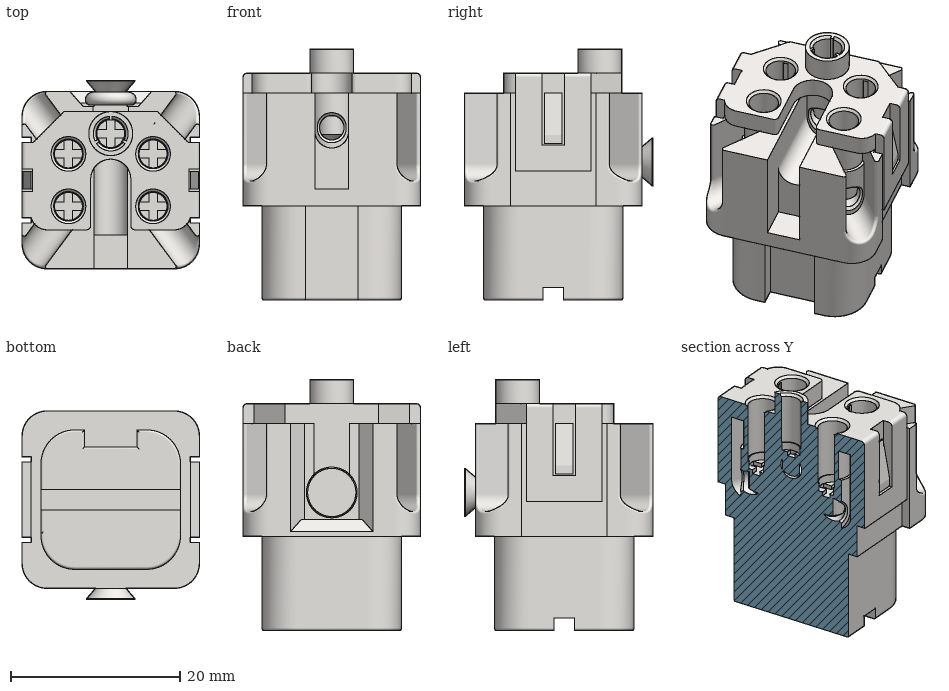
import cadquery as cq
import math

flange_size = 21.0
flange_corner_radius = 3.0
shoulder_z = 13.35
plate_top_z = 15.7
tower_top_z = 18.55
plug_size = 16.5
plug_corner_radius = 4.0
plug_bottom_z = -11.15
plug_edge_radius = 0.3
half_flange = flange_size / 2
half_plug = plug_size / 2
tolerance = 0.01

groove_width = 6.15
groove_depth = 2.0
bottom_slot_width = 2.4
bottom_slot_depth = 1.5

recess_width = 10.1
recess_depth = 1.1
pad_width = 8.9
pad_depth = 1.4
pad_bottom_z = 4.13
pad_edge_radius = 0.5
notch_width = 2.65
notch_depth = 1.25
notch_bottom_z = 7.2
wedge_width = 2.1
wedge_bottom_z = 7.4
wedge_flat_top_z = 8.35
wedge_top_z = shoulder_z
wedge_setback = 0.15
wedge_step = 0.15

plate_half_width = 9.5
plate_front_y = -5.88
plate_back_y = 8.1
plate_bevel = 3.97
plate_corner_radius = 2.0
plate_slot_width = 4.75
plate_slot_end_y = 0.1
plate_slot_corner_radius = 0.5

contact_x = 5.0
contact_y = 3.1
earth_y = 5.5
tower_diameter = 5.2
barrel_diameter = 5.2
barrel_neck_diameter = 4.5
barrel_ledge_z = 9.65
bore_rim_diameter = 4.1
bore_rim_depth = 0.3
bore_diameter = 3.5
bore_seat_diameter = 3.3
bore_seat_height = 1.0
floor_above_hole = 1.9
cross_width = 1.0
cross_depth = 0.5
slit_width = 0.6
slit_depth = 0.2
slit_top_gap = 0.6
slit_height = 4.0
rib_width = 0.35
rib_reach = 1.6

channel_width = 4.0
channel_length = 12.0
channel_angle = 53.5
corner_channel_z = 4.95
front_channel_z = 8.85
channel_edge_radius = 0.27
slot_floor_z = 2.03
slot_wall_y = -6.5
wire_hole_diameter = 2.9
wire_hole_bevel = 0.33
wire_hole_rise = 0.4
stud_diameter = 3.3
stud_below_hole = -0.8
stud_tip_length = 1.2

screw_z = 5.2
head_diameter = 5.7
head_outer_y = 11.8
head_rim = 0.1
head_neck_diameter = 3.5
washer_diameter = 6.0
washer_outer_y = 10.4
washer_inner_y = 8.87
washer_outer_edge_radius = 0.9
washer_inner_edge_radius = 0.6
neck_width = 4.15
neck_edge_bevel = 0.2
recess_wall_y = 8.7
recess_floor_z = 2.0
ramp_start_y = 9.1
recess_inner_half_width = 3.25
recess_outer_half_width = 4.85


def box_between(x0, x1, y0, y1, z0, z1):
    return cq.Workplane("XY").box(x1 - x0, y1 - y0, z1 - z0, centered=False).translate((x0, y0, z0))


def cylinder(x, y, diameter, z0, z1):
    return cq.Workplane("XY", origin=(x, y, z0)).circle(diameter / 2).extrude(z1 - z0)


def cone(x, y, lower_diameter, upper_diameter, z0, z1):
    solid = cq.Solid.makeCone(lower_diameter / 2, upper_diameter / 2, z1 - z0, cq.Vector(x, y, z0))
    return cq.Workplane(solid)


def make_plug():
    plug = cq.Workplane("XY", origin=(0, 0, plug_bottom_z)).rect(plug_size, plug_size)
    plug = plug.extrude(-plug_bottom_z).edges("|Z").fillet(plug_corner_radius)
    plug = plug.cut(box_between(-groove_width / 2, groove_width / 2, -half_plug, groove_depth - half_plug,
                                plug_bottom_z, 0))
    plug = plug.faces("<Z").edges().fillet(plug_edge_radius)
    return plug.cut(box_between(-half_plug, half_plug, -bottom_slot_width / 2, bottom_slot_width / 2,
                                plug_bottom_z, plug_bottom_z + bottom_slot_depth))


def make_channel(x, y, axis_z, angle):
    """Round-bottomed, open-topped channel running out from (x, y) at an angle from +X."""
    along = cq.Vector(math.cos(math.radians(angle)), math.sin(math.radians(angle)), 0)
    across = cq.Vector(-along.y, along.x, 0)
    section = cq.Workplane(cq.Plane((x, y, axis_z), xDir=across, normal=along))
    half = channel_width / 2
    top = shoulder_z - axis_z
    return (section.moveTo(-half, 0).threePointArc((0, -half), (half, 0))
            .lineTo(half, top).lineTo(-half, top).close().extrude(channel_length))


def corner_contacts():
    """Position and channel direction of each corner contact."""
    for side_x in (-1, 1):
        for side_y in (-1, 1):
            direction = math.degrees(math.atan2(side_y * math.sin(math.radians(channel_angle)),
                                                side_x * math.cos(math.radians(channel_angle))))
            yield side_x * contact_x, side_y * contact_y, direction


def is_channel_mouth(edge):
    """True for an edge where a corner channel breaks out through the side of the flange."""
    middle = edge.positionAt(0.5)
    straight = half_flange - flange_corner_radius
    outside = math.hypot(max(abs(middle.x) - straight, 0), max(abs(middle.y) - straight, 0))
    on_side = abs(outside - flange_corner_radius) < tolerance
    box = edge.BoundingBox()
    above_floor = box.zmin > corner_channel_z - channel_width / 2 - tolerance
    return on_side and above_floor and box.zmax - box.zmin > tolerance


def make_flange():
    flange = cq.Workplane("XY").rect(flange_size, flange_size).extrude(shoulder_z)
    flange = flange.edges("|Z").fillet(flange_corner_radius)
    for x, y, direction in corner_contacts():
        flange = flange.cut(make_channel(x, y, corner_channel_z, direction))
    mouth_edges = [edge for edge in flange.edges().vals() if is_channel_mouth(edge)]
    flange = flange.newObject(mouth_edges).fillet(channel_edge_radius)
    flange = flange.cut(make_channel(0, earth_y, front_channel_z, -90))
    half = channel_width / 2
    flange = flange.cut(box_between(-half, half, -half_flange, slot_wall_y, slot_floor_z, shoulder_z))
    for x in (-half_flange, half_flange - recess_depth):
        flange = flange.cut(box_between(x, x + recess_depth, -recess_width / 2, recess_width / 2,
                                        0, shoulder_z))
    return flange


def make_plate():
    bevel_x = plate_half_width - plate_bevel
    bevel_y = plate_back_y - plate_bevel
    plate = (cq.Workplane("XY", origin=(0, 0, shoulder_z))
             .moveTo(-plate_half_width, plate_front_y).lineTo(plate_half_width, plate_front_y)
             .lineTo(plate_half_width, bevel_y).lineTo(bevel_x, plate_back_y)
             .lineTo(-bevel_x, plate_back_y).lineTo(-plate_half_width, bevel_y).close()
             .extrude(plate_top_z - shoulder_z))
    plate = plate.edges("|Z and <Y").fillet(plate_corner_radius)
    half = plate_slot_width / 2
    plate = plate.cut(box_between(-half, half, plate_front_y, plate_slot_end_y, shoulder_z, plate_top_z))
    slot_corners = [edge for edge in plate.edges("|Z and <Y").vals()
                    if abs(edge.Center().x) < half + tolerance]
    plate = plate.newObject(slot_corners).fillet(plate_slot_corner_radius)
    return plate.cut(cylinder(0, plate_slot_end_y, plate_slot_width, shoulder_z, plate_top_z))


def make_pad():
    """Snap pad on the -X side."""
    pad = box_between(-half_flange, -half_flange + pad_depth, -pad_width / 2, pad_width / 2,
                      pad_bottom_z, plate_top_z)
    return pad.edges("<X and >Z").fillet(pad_edge_radius)


def make_pad_notch():
    """Open-topped notch in the -X pad, around its catch wedge."""
    inner_x = -half_flange + notch_depth
    outer_x = -half_flange + wedge_setback
    notch = box_between(-half_flange, inner_x, -notch_width / 2, notch_width / 2,
                        notch_bottom_z, plate_top_z)
    wedge = (cq.Workplane("XZ", origin=(0, wedge_width / 2, 0))
             .moveTo(inner_x, wedge_bottom_z).lineTo(outer_x, wedge_bottom_z)
             .lineTo(outer_x, wedge_flat_top_z).lineTo(inner_x - wedge_step, wedge_top_z)
             .lineTo(inner_x, wedge_top_z).close().extrude(wedge_width))
    return notch.cut(wedge)


def make_bore(x, y, top_z, floor_z):
    """Contact bore with a flared rim, a narrower seat and a cross recess in its floor."""
    seat_z = floor_z + bore_seat_height
    bore = cylinder(x, y, bore_seat_diameter, floor_z, seat_z)
    bore = bore.union(cylinder(x, y, bore_diameter, seat_z, top_z))
    bore = bore.union(cone(x, y, bore_diameter, bore_rim_diameter, top_z - bore_rim_depth, top_z))
    half_length = bore_seat_diameter / 2
    half_width = cross_width / 2
    for half_x, half_y in ((half_length, half_width), (half_width, half_length)):
        bore = bore.union(box_between(x - half_x, x + half_x, y - half_y, y + half_y,
                                      floor_z - cross_depth, floor_z))
    return bore


def make_slit(x, y, angle):
    """Narrow slit in the wall of a corner bore."""
    top = plate_top_z - slit_top_gap
    reach = bore_diameter / 2 + slit_depth
    slit = box_between(bore_diameter / 4, reach, -slit_width / 2, slit_width / 2, top - slit_height, top)
    return slit.rotate((0, 0, 0), (0, 0, 1), angle).translate((x, y, 0))


def make_wire_hole(x, y, axis_z, angle, barrel):
    """Side hole of a barrel with a bevelled mouth, cut around the conical stud that stands in it."""
    drill = (cq.Workplane("YZ").circle(wire_hole_diameter / 2).extrude(half_flange)
             .rotate((0, 0, 0), (0, 0, 1), angle).translate((x, y, axis_z)))
    block = cylinder(x, y, barrel, axis_z - wire_hole_diameter, axis_z + wire_hole_diameter)
    drilled = block.cut(drill)
    outward = cq.Vector(math.cos(math.radians(angle)), math.sin(math.radians(angle)), 0)
    mouth = drilled.edges(cq.selectors.DirectionMinMaxSelector(outward, True))
    hole = block.cut(mouth.chamfer(wire_hole_bevel))
    tip_z = axis_z + stud_below_hole
    hole = hole.cut(cylinder(x, y, stud_diameter, tip_z, axis_z + wire_hole_diameter))
    return hole.cut(cone(x, y, 0, stud_diameter, tip_z - stud_tip_length, tip_z))


def make_ribs():
    """Three ribs on the wall of the tower bore."""
    ribs = []
    for angle in (90, 210, 330):
        rib = box_between(rib_reach, (bore_rim_diameter + tower_diameter) / 4,
                          -rib_width / 2, rib_width / 2, shoulder_z, tower_top_z)
        ribs.append(rib.rotate((0, 0, 0), (0, 0, 1), angle).translate((0, earth_y, 0)))
    return ribs


def make_screw_recess():
    """Flared recess on the +Y side with a ramped floor, and the slot for the screw's square neck."""
    outline = (cq.Workplane("XY").moveTo(-recess_inner_half_width, recess_wall_y)
               .lineTo(recess_inner_half_width, recess_wall_y)
               .lineTo(recess_outer_half_width, half_flange)
               .lineTo(-recess_outer_half_width, half_flange).close().extrude(shoulder_z))
    side = (cq.Workplane("YZ", origin=(-half_flange, 0, 0)).moveTo(recess_wall_y, recess_floor_z)
            .lineTo(ramp_start_y, recess_floor_z)
            .lineTo(half_flange, recess_floor_z - (half_flange - ramp_start_y))
            .lineTo(half_flange, shoulder_z).lineTo(recess_wall_y, shoulder_z).close()
            .extrude(flange_size))
    neck_slot = box_between(-neck_width / 2, neck_width / 2, plate_back_y, recess_wall_y,
                            screw_z - neck_width / 2, shoulder_z)
    return outline.intersect(side).union(neck_slot)


def make_housing():
    housing = make_plug().union(make_flange()).union(make_plate())
    pad = make_pad()
    notch = make_pad_notch()
    housing = housing.union(pad).union(pad.mirror("YZ"))
    housing = housing.cut(notch).cut(notch.mirror("YZ"))
    for x, y, direction in corner_contacts():
        housing = housing.union(cylinder(x, y, barrel_diameter, 0, barrel_ledge_z))
        housing = housing.union(cylinder(x, y, barrel_neck_diameter, barrel_ledge_z, plate_top_z))
        hole_z = corner_channel_z + wire_hole_rise
        housing = housing.cut(make_wire_hole(x, y, hole_z, direction, barrel_diameter))
        housing = housing.cut(make_bore(x, y, plate_top_z, hole_z + floor_above_hole))
        housing = housing.cut(make_slit(x, y, 90 if y > 0 else 0))
    hole_z = front_channel_z + wire_hole_rise
    housing = housing.union(cylinder(0, earth_y, tower_diameter, 0, tower_top_z))
    housing = housing.cut(make_wire_hole(0, earth_y, hole_z, -90, tower_diameter))
    housing = housing.cut(make_bore(0, earth_y, tower_top_z, hole_z + floor_above_hole))
    for rib in make_ribs():
        housing = housing.union(rib)
    return housing.cut(make_screw_recess())


def make_clamp_screw():
    """Countersunk screw with a round-edged washer collar and a square neck, along +Y."""
    washer_radius = washer_diameter / 2
    screw = (cq.Workplane("XY").moveTo(0, washer_inner_y).lineTo(washer_radius, washer_inner_y)
             .lineTo(washer_radius, washer_outer_y).lineTo(0, washer_outer_y).close()
             .revolve(360, (0, 0, 0), (0, 1, 0)))
    screw = screw.edges(">Y").fillet(washer_outer_edge_radius)
    screw = screw.edges("<Y").fillet(washer_inner_edge_radius)
    head = (cq.Workplane("XY").moveTo(0, washer_outer_y).lineTo(head_neck_diameter / 2, washer_outer_y)
            .lineTo(head_diameter / 2, head_outer_y - head_rim).lineTo(head_diameter / 2, head_outer_y)
            .lineTo(0, head_outer_y).close().revolve(360, (0, 0, 0), (0, 1, 0)))
    neck = box_between(-neck_width / 2, neck_width / 2, plate_back_y, washer_inner_y,
                       -neck_width / 2, neck_width / 2)
    neck = neck.faces(">Y").edges("|Z").chamfer(neck_edge_bevel)
    return screw.union(head).union(neck).translate((0, 0, screw_z))


housing = make_housing()
clamp_screw = make_clamp_screw()
result = cq.Compound.makeCompound([housing.solids().val(), clamp_screw.solids().val()])